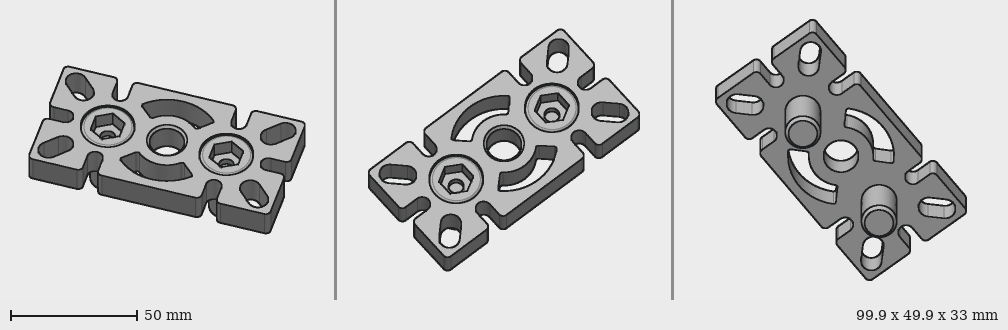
import cadquery as cq
import math

PLATE_LENGTH = 99.9
PLATE_WIDTH = 49.9
PLATE_THICKNESS = 12.0
CORNER_RADIUS = 2.0

NOTCH_WIDTH = 6.3
NOTCH_DEPTH = 11.1

CORNER_SLOT_WIDTH = 8.2
CORNER_SLOT_TRAVEL = 6.5
CORNER_SLOT_ANGLE = 45
CORNER_SLOT_X = 41.1
CORNER_SLOT_Y = 16.2

WINDOW_INNER_RADIUS = 12.8
WINDOW_OUTER_RADIUS = 21.0
WINDOW_HALF_ANGLE = math.radians(46.4)
WINDOW_CORNER_RADIUS = 1.0

CENTRE_HOLE_DIAMETER = 13.8
CENTRE_RIM_DIAMETER = 16.0
CENTRE_RIM_ANGLE = 90

SCREW_OFFSET = 24.6
SHANK_DIAMETER = 14.0
SHANK_PROJECTION = 21.0
TIP_CHAMFER_WIDTH = 1.3
TIP_CHAMFER_HEIGHT = 1.6
HEAD_DIAMETER = 21.0
HEAD_HEIGHT = 8.5
HEAD_RIM_RADIUS = 1.0
SOCKET_ACROSS_FLATS = 12.0
SOCKET_DEPTH = 6.6
PILOT_DIAMETER = 6.1
PILOT_DEPTH = 3.0

COUNTERBORE_DIAMETER = 21.5
HEAD_SEAT_Z = PLATE_THICKNESS - HEAD_HEIGHT


def plate_blank():
    """Rectangular plate with sharp corners."""
    return cq.Workplane("XY").box(
        PLATE_LENGTH, PLATE_WIDTH, PLATE_THICKNESS, centered=(True, True, False)
    )


def notch_cutter(edge_x, edge_y, direction):
    """Round-ended notch centred on an edge point, so that half of it lies inside the plate."""
    return (
        cq.Workplane("XY")
        .center(edge_x, edge_y)
        .slot2D(2 * NOTCH_DEPTH, NOTCH_WIDTH, direction)
        .extrude(PLATE_THICKNESS)
    )


def cut_notches(plate):
    """One notch in the middle of each end and two in each long side."""
    for side in (-1, 1):
        plate = plate.cut(notch_cutter(side * PLATE_LENGTH / 2, 0, 0))
        for screw_side in (-1, 1):
            plate = plate.cut(notch_cutter(screw_side * SCREW_OFFSET, side * PLATE_WIDTH / 2, 90))
    return plate


def round_outer_corners(plate):
    """Round the plate corners and the mouths of the notches, all on the outer rectangle."""
    half_length = PLATE_LENGTH / 2
    half_width = PLATE_WIDTH / 2
    half_notch = NOTCH_WIDTH / 2
    corner_points = [(half_length, half_width), (half_length, half_notch)]
    corner_points += [(SCREW_OFFSET + shift, half_width) for shift in (-half_notch, half_notch)]
    for x, y in corner_points:
        for x_side in (-1, 1):
            for y_side in (-1, 1):
                corner = (x_side * x, y_side * y, PLATE_THICKNESS / 2)
                edge = cq.selectors.NearestToPointSelector(corner)
                plate = plate.edges(edge).fillet(CORNER_RADIUS)
    return plate


def cut_corner_slots(plate):
    """Round-ended slots, each pointing from a plate corner towards the middle."""
    slot_length = CORNER_SLOT_TRAVEL + CORNER_SLOT_WIDTH
    for x_side in (-1, 1):
        for y_side in (-1, 1):
            slot = (
                cq.Workplane("XY")
                .center(x_side * CORNER_SLOT_X, y_side * CORNER_SLOT_Y)
                .slot2D(slot_length, CORNER_SLOT_WIDTH, CORNER_SLOT_ANGLE * x_side * y_side)
                .extrude(PLATE_THICKNESS)
            )
            plate = plate.cut(slot)
    return plate


def cut_curved_windows(plate):
    """Ring segments with rounded corners, mirrored about the X axis."""
    sine = math.sin(WINDOW_HALF_ANGLE)
    cosine = math.cos(WINDOW_HALF_ANGLE)
    for y_side in (-1, 1):
        window = (
            cq.Workplane("XY")
            .moveTo(-WINDOW_INNER_RADIUS * sine, y_side * WINDOW_INNER_RADIUS * cosine)
            .threePointArc(
                (0, y_side * WINDOW_INNER_RADIUS),
                (WINDOW_INNER_RADIUS * sine, y_side * WINDOW_INNER_RADIUS * cosine),
            )
            .lineTo(WINDOW_OUTER_RADIUS * sine, y_side * WINDOW_OUTER_RADIUS * cosine)
            .threePointArc(
                (0, y_side * WINDOW_OUTER_RADIUS),
                (-WINDOW_OUTER_RADIUS * sine, y_side * WINDOW_OUTER_RADIUS * cosine),
            )
            .close()
            .extrude(PLATE_THICKNESS)
            .edges("|Z")
            .fillet(WINDOW_CORNER_RADIUS)
        )
        plate = plate.cut(window)
    return plate


def cut_centre_hole(plate):
    """Through hole whose upper rim is a shallow countersink."""
    return (
        plate.faces(">Z")
        .workplane(origin=(0, 0, PLATE_THICKNESS))
        .cskHole(CENTRE_HOLE_DIAMETER, CENTRE_RIM_DIAMETER, CENTRE_RIM_ANGLE)
    )


def cut_screw_recesses(plate):
    """Counterbored holes: the bore clears the head and the hole fits the shank."""
    return (
        plate.faces(">Z")
        .workplane(origin=(0, 0, PLATE_THICKNESS))
        .pushPoints([(-SCREW_OFFSET, 0), (SCREW_OFFSET, 0)])
        .cboreHole(SHANK_DIAMETER, COUNTERBORE_DIAMETER, HEAD_HEIGHT)
    )


def make_plate():
    plate = round_outer_corners(cut_notches(plate_blank()))
    plate = cut_corner_slots(plate)
    plate = cut_curved_windows(plate)
    plate = cut_centre_hole(plate)
    return cut_screw_recesses(plate)


def make_screw(x):
    """Socket head screw whose head is flush with the top of the plate."""
    shank_radius = SHANK_DIAMETER / 2
    head_radius = HEAD_DIAMETER / 2
    rim_middle = HEAD_RIM_RADIUS * (1 - math.sqrt(0.5))
    body = (
        cq.Workplane("XZ")
        .moveTo(0, -SHANK_PROJECTION)
        .lineTo(shank_radius - TIP_CHAMFER_WIDTH, -SHANK_PROJECTION)
        .lineTo(shank_radius, TIP_CHAMFER_HEIGHT - SHANK_PROJECTION)
        .lineTo(shank_radius, HEAD_SEAT_Z)
        .lineTo(head_radius, HEAD_SEAT_Z)
        .lineTo(head_radius, PLATE_THICKNESS - HEAD_RIM_RADIUS)
        .threePointArc(
            (head_radius - rim_middle, PLATE_THICKNESS - rim_middle),
            (head_radius - HEAD_RIM_RADIUS, PLATE_THICKNESS),
        )
        .lineTo(0, PLATE_THICKNESS)
        .close()
        .revolve(360, (0, 0), (0, 1))
    )
    socket_floor_z = PLATE_THICKNESS - SOCKET_DEPTH
    socket = (
        cq.Workplane("XY", origin=(0, 0, socket_floor_z))
        .polygon(6, SOCKET_ACROSS_FLATS, circumscribed=True)
        .extrude(SOCKET_DEPTH)
    )
    pilot = (
        cq.Workplane("XY", origin=(0, 0, socket_floor_z))
        .circle(PILOT_DIAMETER / 2)
        .extrude(-PILOT_DEPTH)
    )
    return body.cut(socket).cut(pilot).translate((x, 0, 0))


plate = make_plate()
screws = [make_screw(side * SCREW_OFFSET) for side in (-1, 1)]

result = cq.Compound.makeCompound([plate.val(), *[screw.val() for screw in screws]])